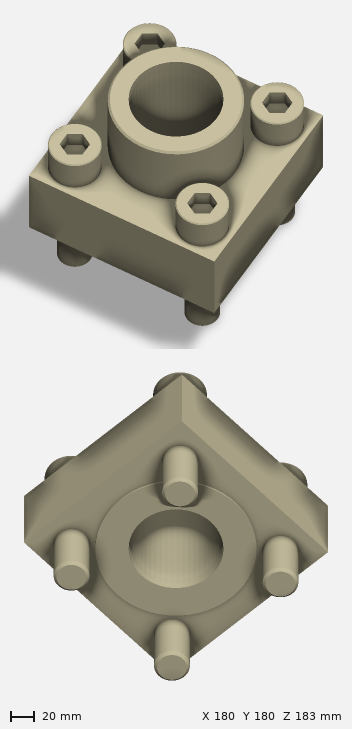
import cadquery as cq
import math

flange_side = 180.0
flange_height = 70.0

neck_diameter = 114.3
neck_height = 63.0
neck_chamfer = 1.8
bore_diameter = 79.3

face_diameter = 135.0
face_height = 2.0

screw_circle_diameter = 175.0
screw_spacing = screw_circle_diameter / math.sqrt(2)
shank_diameter = 30.0
shank_length = 50.0
shank_chamfer = 2.5
head_diameter = 45.0
head_height = 30.0
head_chamfer = 1.0
socket_width = 22.0
socket_depth = 15.0
socket_turn = 30.0


def make_flange():
    """Flange block with its neck, sealing face and through bore."""
    block = cq.Workplane("XY").rect(flange_side, flange_side).extrude(flange_height)
    neck = (
        cq.Workplane("XY", origin=(0, 0, flange_height))
        .circle(neck_diameter / 2)
        .extrude(neck_height)
        .faces(">Z")
        .chamfer(neck_chamfer)
    )
    face = cq.Workplane("XY").circle(face_diameter / 2).extrude(-face_height)
    bore_length = face_height + flange_height + neck_height
    bore = cq.Workplane("XY", origin=(0, 0, -face_height)).circle(bore_diameter / 2).extrude(bore_length)
    return block.union(neck).union(face).cut(bore)


def make_head():
    """Screw head standing on the flange top, with a hexagonal socket in its top."""
    corner_diameter = socket_width / math.cos(math.pi / 6)
    head = (
        cq.Workplane("XY", origin=(0, 0, flange_height))
        .circle(head_diameter / 2)
        .extrude(head_height)
        .faces(">Z")
        .chamfer(head_chamfer)
    )
    socket = (
        cq.Workplane("XY", origin=(0, 0, flange_height + head_height))
        .polygon(6, corner_diameter)
        .extrude(-socket_depth)
        .rotate((0, 0, 0), (0, 0, 1), socket_turn)
    )
    return head.cut(socket)


def make_shank():
    """Part of the screw shank that stands out below the flange."""
    return (
        cq.Workplane("XY")
        .circle(shank_diameter / 2)
        .extrude(-shank_length)
        .faces("<Z")
        .chamfer(shank_chamfer)
    )


result = make_flange()
screw_ends = (make_head(), make_shank())
for x_side in (-1, 1):
    for y_side in (-1, 1):
        position = (x_side * screw_spacing / 2, y_side * screw_spacing / 2, 0)
        for screw_end in screw_ends:
            result = result.union(screw_end.translate(position))